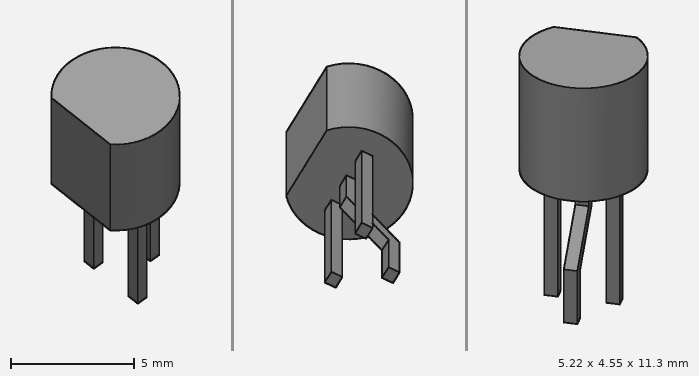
import cadquery as cq
import math

total_height = 11.33
body_height = 5.33
body_radius = 2.61
body_depth = 4.55

lead_width = 0.57
lead_thickness = 0.51
lead_pitch = 1.29

bend_offset = 1.94
foot_front_height = 2.29
bend_angle = 45.0

body_bottom = total_height - body_height
flat_y = body_radius - body_depth
flat_half_width = math.sqrt(body_radius**2 - flat_y**2)


def make_body():
    """Cylinder with a flat on its front side."""
    return (
        cq.Workplane("XY", origin=(0, 0, body_bottom))
        .moveTo(-flat_half_width, flat_y)
        .threePointArc((0, body_radius), (flat_half_width, flat_y))
        .close()
        .extrude(body_height)
    )


def make_straight_lead(x):
    return (
        cq.Workplane("XY")
        .center(x, 0)
        .rect(lead_width, lead_thickness)
        .extrude(body_bottom)
    )


def make_bent_lead():
    """Side profile in the YZ plane, of even thickness along the whole lead."""
    front_y = -lead_thickness / 2
    back_y = lead_thickness / 2
    bend_rise = bend_offset / math.tan(math.radians(bend_angle))
    miter_rise = lead_thickness * math.tan(math.radians(bend_angle / 2))
    foot_back_height = foot_front_height + miter_rise
    profile = [
        (front_y, body_bottom),
        (front_y, foot_front_height + bend_rise),
        (front_y + bend_offset, foot_front_height),
        (front_y + bend_offset, 0),
        (back_y + bend_offset, 0),
        (back_y + bend_offset, foot_back_height),
        (back_y, foot_back_height + bend_rise),
        (back_y, body_bottom),
    ]
    return cq.Workplane("YZ").polyline(profile).close().extrude(lead_width / 2, both=True)


result = make_body().union(make_bent_lead())
for side in (-1, 1):
    result = result.union(make_straight_lead(side * lead_pitch))